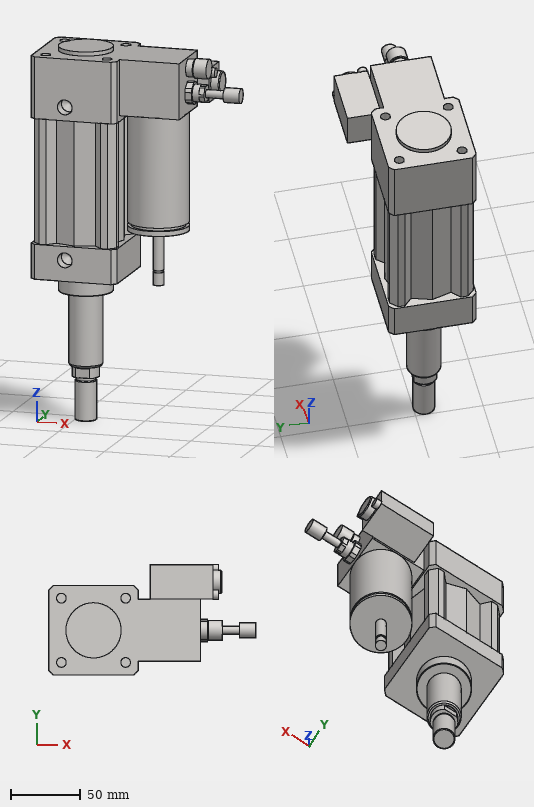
import cadquery as cq
import math


body_width = 65.0
body_corner_diameter = 87.0
end_cap_height = 26.0
barrel_length = 93.5
head_height = 46.0
head_bottom = end_cap_height + barrel_length
head_top = head_bottom + head_height
cover_diameter = 40.0
cover_height = 3.0
collar_diameter = 40.0
collar_length = 13.5
collar_chamfer = 0.5

barrel_half_width = 31.0
barrel_corner_chamfer = 5.2
groove_outer_offset = 20.7
groove_inner_offset = 14.8
groove_floor_distance = 24.5
ridge_distance = 29.0

mount_hole_diameter = 7.0
mount_hole_pitch = 46.5
mount_hole_depth = 16.0
port_diameter = 11.0
port_depth = 10.0
port_x = -6.0
port_tip_half_angle = math.radians(59)
head_port_z = head_bottom + 10.0
cap_port_z = end_cap_height / 2 + 2.7

motor_diameter = 45.0
motor_radius = motor_diameter / 2
motor_x = body_width / 2 + motor_radius
block_end_x = motor_x + motor_radius
block_height = 41.7
block_bottom = head_top - block_height
motor_length = 82.0
motor_groove_diameter = 40.0
motor_groove_length = 2.5
motor_flange_length = 3.7
cable_diameter = 8.0
cable_groove_diameter = 7.0
cable_length = 30.0
cable_groove_length = 1.5
cable_end_length = 9.5

knob_z = head_top - 8.0
knob_collar_diameter = 13.0
knob_collar_length = 5.0
knob_neck_diameter = 12.0
knob_neck_length = 0.7
knob_diameter = 14.5
knob_length = 10.0
gland_z = head_top - 26.3
gland_nut_flats = 16.0
gland_nut_corner_diameter = 17.0
gland_nut_length = 5.0
gland_nut_turn = 7.0
gland_sleeve_diameter = 13.0
gland_sleeve_length = 5.0
gland_cap_flats = 12.0
gland_cap_corner_diameter = 13.0
gland_cap_length = 3.9
gland_cap_turn = 33.0
plug_cable_diameter = 6.0
plug_diameter = 11.0
plug_length = 12.0
plug_end_x = 117.5

rod_diameter = 25.0
rod_chamfer = 1.0
rod_chamfer_length = 1.7
rod_end_z = -109.5
thread_diameter = 16.0
thread_length = 30.0
thread_chamfer = 0.7
undercut_diameter = 14.0
undercut_length = 2.5
wrench_diameter = 20.0
wrench_flats = 17.0
wrench_length = 7.3
shoulder_length = 0.8

box_size = 25.0
box_start_x = 41.0
box_length = 45.3
box_end_x = box_start_x + box_length
box_y = motor_radius + box_size / 2
box_z = head_top - 26.0
socket_diameter = 17.0
socket_length = 6.5
socket_chamfer = 0.8
screw_head_diameter = 7.0
screw_head_length = 4.2
screw_offset = 9.31


def cylinder_x(diameter, start, end, y, z):
    """Round bar along X from start to end."""
    return cq.Workplane("YZ", origin=(start, y, z)).circle(diameter / 2).extrude(end - start)


def cylinder_z(diameter, bottom, top, x=0):
    """Round bar along Z from bottom to top."""
    return cq.Workplane("XY", origin=(x, 0, bottom)).circle(diameter / 2).extrude(top - bottom)


def hex_nut_x(flats, corner_diameter, start, length, z, turn):
    """Hexagon along X with its corners rounded to corner_diameter, turned about its axis."""
    hexagon = (
        cq.Workplane("YZ", origin=(start, 0, z))
        .polygon(6, flats, circumscribed=True)
        .extrude(length)
        .rotate((0, 0, z), (1, 0, z), turn)
    )
    return hexagon.intersect(cylinder_x(corner_diameter, start, start + length, 0, z))


def square_section(bottom, height):
    """Square end piece of the housing, its corners turned to body_corner_diameter."""
    square = cq.Workplane("XY", origin=(0, 0, bottom)).rect(body_width, body_width).extrude(height)
    return square.intersect(cylinder_z(body_corner_diameter, bottom, bottom + height))


def barrel():
    """Extruded barrel, its outline made of one side repeated four times."""
    corner = barrel_half_width - barrel_corner_chamfer
    side = [
        (-corner, -barrel_half_width),
        (-groove_outer_offset, -barrel_half_width),
        (-groove_inner_offset, -groove_floor_distance),
        (0, -ridge_distance),
        (groove_inner_offset, -groove_floor_distance),
        (groove_outer_offset, -barrel_half_width),
        (corner, -barrel_half_width),
    ]
    outline = []
    for _ in range(4):
        outline += side
        side = [(-y, x) for x, y in side]
    return cq.Workplane("XY", origin=(0, 0, end_cap_height)).polyline(outline).close().extrude(barrel_length)


def port(z):
    """Drilled port with a conical bottom, entering from the -Y side."""
    radius = port_diameter / 2
    tip = port_depth + radius / math.tan(port_tip_half_angle)
    half_section = [(0, 0), (radius, 0), (radius, port_depth), (0, tip)]
    return (
        cq.Workplane("XY")
        .polyline(half_section)
        .close()
        .revolve(360, (0, 0, 0), (0, 1, 0))
        .translate((port_x, -body_width / 2, z))
    )


def knob():
    """Upper fitting: collar, narrow neck and round knob."""
    neck_start = block_end_x + knob_collar_length
    knob_start = neck_start + knob_neck_length
    return (
        cylinder_x(knob_collar_diameter, block_end_x, neck_start, 0, knob_z)
        .union(cylinder_x(knob_neck_diameter, neck_start, knob_start, 0, knob_z))
        .union(cylinder_x(knob_diameter, knob_start, knob_start + knob_length, 0, knob_z))
    )


def cable_gland():
    """Lower fitting: gland nut, sleeve, gland cap, cable and plug."""
    sleeve_start = block_end_x + gland_nut_length
    cap_start = sleeve_start + gland_sleeve_length
    plug_start = plug_end_x - plug_length
    nut = hex_nut_x(
        gland_nut_flats, gland_nut_corner_diameter, block_end_x, gland_nut_length, gland_z, gland_nut_turn
    )
    cap = hex_nut_x(
        gland_cap_flats, gland_cap_corner_diameter, cap_start, gland_cap_length, gland_z, gland_cap_turn
    )
    return (
        nut.union(cylinder_x(gland_sleeve_diameter, sleeve_start, cap_start, 0, gland_z))
        .union(cap)
        .union(cylinder_x(plug_cable_diameter, cap_start, plug_start, 0, gland_z))
        .union(cylinder_x(plug_diameter, plug_start, plug_end_x, 0, gland_z))
    )


def make_housing():
    """End cap, barrel, head and gear block with its fittings."""
    gear_block = (
        cq.Workplane("XY", origin=(0, 0, block_bottom))
        .rect(block_end_x, motor_diameter)
        .extrude(block_height)
        .translate((block_end_x / 2, 0, 0))
    )
    collar = cylinder_z(collar_diameter, -collar_length, 0).faces("<Z").chamfer(collar_chamfer)
    housing = (
        square_section(0, end_cap_height)
        .union(barrel())
        .union(square_section(head_bottom, head_height))
        .union(cylinder_z(cover_diameter, head_top, head_top + cover_height))
        .union(collar)
        .union(gear_block)
        .union(knob())
        .union(cable_gland())
    )
    mount_holes = (
        cq.Workplane("XY", origin=(0, 0, head_top))
        .rect(mount_hole_pitch, mount_hole_pitch, forConstruction=True)
        .vertices()
        .circle(mount_hole_diameter / 2)
        .extrude(-mount_hole_depth)
    )
    rod_bore = cylinder_z(rod_diameter, -collar_length, end_cap_height)
    housing = housing.cut(mount_holes).cut(rod_bore)
    for z in (head_port_z, cap_port_z):
        housing = housing.cut(port(z))
    return housing


def make_rod():
    """Piston rod with wrench flats, thread undercut and threaded end."""
    thread_top = rod_end_z + thread_length
    wrench_bottom = thread_top + undercut_length
    wrench_top = wrench_bottom + wrench_length
    shaft_bottom = wrench_top + shoulder_length
    shaft = cylinder_z(rod_diameter, shaft_bottom, end_cap_height)
    shaft = shaft.faces("<Z").chamfer(rod_chamfer_length, rod_chamfer)
    wrench_section = cylinder_z(wrench_diameter, wrench_bottom, wrench_top).intersect(
        cq.Workplane("XY", origin=(0, 0, wrench_bottom))
        .rect(wrench_diameter, wrench_flats)
        .extrude(wrench_length)
    )
    thread = cylinder_z(thread_diameter, rod_end_z, thread_top).faces("<Z or >Z").chamfer(thread_chamfer)
    return (
        shaft.union(cylinder_z(wrench_diameter, wrench_top, shaft_bottom))
        .union(wrench_section)
        .union(cylinder_z(undercut_diameter, thread_top, wrench_bottom))
        .union(thread)
    )


def make_motor():
    """Round motor hanging under the gear block, with a grooved end flange and a cable stub."""
    steps = [
        (motor_diameter, motor_length),
        (motor_groove_diameter, motor_groove_length),
        (motor_diameter, motor_flange_length),
        (cable_diameter, cable_length),
        (cable_groove_diameter, cable_groove_length),
        (cable_diameter, cable_end_length),
    ]
    motor = cq.Workplane("XY")
    top = block_bottom
    for diameter, length in steps:
        motor = motor.union(cylinder_z(diameter, top - length, top, motor_x))
        top -= length
    return motor


def make_connector_box():
    """Square box on the +Y side of the gear block, with a round socket and two screw heads."""
    box = (
        cq.Workplane("YZ", origin=(box_start_x, box_y, box_z))
        .rect(box_size, box_size)
        .extrude(box_length)
    )
    socket = cylinder_x(socket_diameter, box_end_x, box_end_x + socket_length, box_y, box_z)
    box = box.union(socket.faces(">X").chamfer(socket_chamfer))
    for side in (-1, 1):
        y = box_y + side * screw_offset
        z = box_z - side * screw_offset
        box = box.union(cylinder_x(screw_head_diameter, box_end_x, box_end_x + screw_head_length, y, z))
    return box


housing = make_housing()
rod = make_rod()
motor = make_motor()
connector_box = make_connector_box()

result = cq.Compound.makeCompound([housing.val(), rod.val(), motor.val(), connector_box.val()])